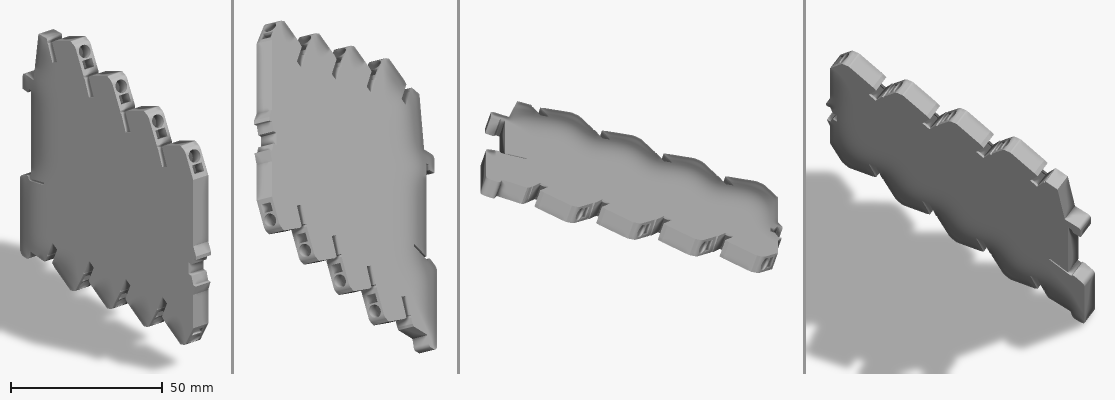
import cadquery as cq
import math

thickness = 6.0
half_height = 47.1
wall_x = 101.6
join_x = 15.8
shelf_x = 16.0
slit_end_x = 14.2
slit_end_top = -13.6
slit_end_bottom = -14.6

latch_tip_x = 103.3
latch_top = -1.1
latch_bottom = -11.7

tooth_count = 4
pitch_x = 21.5
pitch_drop = 3.2

notch_x = 19.0
notch_z = 34.1
notch_width = 3.1
notch_angle = math.radians(25)
notch_wall = 7.0
corner_x = 20.1
corner_z = 42.8
apex_x = 29.8
apex_half_width = 0.4
apex_rise = 0.1
shoulder_x = 31.1
shoulder_z = 46.7
round_mid_x = 32.2
round_mid_z = 46.2
flank_x = 33.0
flank_z = 45.2
step_x = join_x + pitch_x
step_top_z = 37.5
step_bottom_z = 36.8
step_width = 0.6
shelf_z = step_bottom_z + pitch_drop

screw_diameter = 4.4
screw_x = 33.6
slot_x = 35.6
slot_length = 3.0
slot_width = 3.8
pocket_depth = 5.2

recess_width = 4.5
recess_depth = 0.7

flank_slope = (step_top_z - flank_z) / (step_x - flank_x)


def flank_height(x):
    """Height of the first tooth's straight flank at x."""
    return flank_z + flank_slope * (x - flank_x)


def polar(length, angle):
    """X and Z components of a length at an angle above the X axis."""
    return length * math.cos(angle), length * math.sin(angle)


def profile_plane():
    """Workplane of the plate outline: local X is X and local Y is Z."""
    return cq.Workplane("XZ")


def plate(points):
    """Full-thickness plate bounded by straight edges."""
    return profile_plane().polyline(points).close().extrude(thickness / 2, both=True)


def tooth_row():
    """Upper half of the body, with its stepped row of teeth."""
    floor_x, floor_z = polar(notch_width, notch_angle)
    wall_dx, wall_dz = polar(notch_wall, notch_angle + math.pi / 2)
    tip_x = notch_x + floor_x + wall_dx
    tip_z = notch_z + floor_z + wall_dz
    apex_side_z = half_height - apex_rise

    row = profile_plane().moveTo(join_x, 0).lineTo(join_x, shelf_z)
    row = row.lineTo(join_x + step_width, shelf_z)
    for i in range(tooth_count):
        dx = i * pitch_x
        dz = -i * pitch_drop
        row = (
            row.lineTo(notch_x + dx, notch_z + dz)
            .lineTo(notch_x + floor_x + dx, notch_z + floor_z + dz)
            .lineTo(tip_x + dx, tip_z + dz)
            .lineTo(corner_x + dx, corner_z + dz)
            .lineTo(apex_x - apex_half_width + dx, apex_side_z + dz)
            .threePointArc((apex_x + dx, half_height + dz), (apex_x + apex_half_width + dx, apex_side_z + dz))
            .lineTo(shoulder_x + dx, shoulder_z + dz)
            .threePointArc((round_mid_x + dx, round_mid_z + dz), (flank_x + dx, flank_z + dz))
        )
        if i < tooth_count - 1:
            row = (
                row.lineTo(step_x + dx, step_top_z + dz)
                .lineTo(step_x + dx, step_bottom_z + dz)
                .lineTo(step_x + step_width + dx, step_bottom_z + dz)
            )
        else:
            row = row.lineTo(wall_x, flank_height(wall_x - dx) + dz)
    return row.lineTo(wall_x, 0).close().extrude(thickness / 2, both=True)


def flank_plane(x):
    """Plane on the first tooth's flank: local X points down the flank, local Z outward."""
    down = cq.Vector(1, 0, flank_slope)
    outward = cq.Vector(-flank_slope, 0, 1)
    return cq.Workplane(cq.Plane((x, 0, flank_height(x)), down, outward))


def tooth_pockets():
    """Cutters for the first notch recess, screw hole and test slot."""
    clearance = 1.0
    depth = pocket_depth + clearance
    screw_plane = flank_plane(screw_x).workplane(offset=clearance)
    screw = screw_plane.circle(screw_diameter / 2).extrude(-depth)
    slot_plane = flank_plane(slot_x).workplane(offset=clearance)
    slot = slot_plane.rect(slot_length, slot_width).extrude(-depth)
    recess = (
        cq.Workplane("XY")
        .box(notch_width, recess_width, 2 * recess_depth, centered=(False, True, True))
        .rotate((0, 0, 0), (0, 1, 0), -math.degrees(notch_angle))
        .translate((notch_x, 0, notch_z))
    )
    return screw.union(slot).union(recess)


def toothed_half():
    """Upper half of the body with the pockets cut in every tooth."""
    half = tooth_row()
    cutter = tooth_pockets()
    for i in range(tooth_count):
        half = half.cut(cutter.translate((i * pitch_x, 0, -i * pitch_drop)))
    return half


def hook_block():
    """Upper left block: rail hook, leaning edge and the long vertical wall."""
    hook_x = 1.7
    hook_top = 22.3
    hook_bottom = 16.1
    hook_round = 1.2
    rail_wall_x = 6.6
    slit_mouth_z = -15.6
    block = plate(
        [
            (rail_wall_x, slit_mouth_z),
            (rail_wall_x, 17.8),
            (5.3, 17.8),
            (4.6, hook_bottom),
            (hook_x, hook_bottom),
            (hook_x, hook_top),
            (8.0, hook_top),
            (10.8, 41.1),
            (15.6, 41.7),
            (shelf_x, 40.9),
            (shelf_x, shelf_z),
            (join_x, shelf_z),
            (join_x, slit_end_top),
            (slit_end_x, slit_end_top),
        ]
    )
    corner = cq.selectors.NearestToPointSelector((hook_x, 0, hook_top))
    return block.edges("|Y").edges(corner).fillet(hook_round)


def foot_block():
    """Lower left block: rail foot below the thin spring slit."""
    outer_round = 2.0
    toe_round = 1.2
    top_left = (0, -17.4)
    foot_right = 4.8
    block = plate(
        [
            top_left,
            (3.9, -15.6),
            (4.9, -15.6),
            (5.3, -16.6),
            (6.4, -16.6),
            (slit_end_x, slit_end_bottom),
            (slit_end_x, slit_end_top),
            (join_x, slit_end_top),
            (join_x, -shelf_z),
            (shelf_x, -shelf_z),
            (shelf_x, -40.7),
            (15.1, -42.7),
            (14.4, -43.4),
            (5.7, -43.4),
            (foot_right, -half_height),
            (0, -half_height),
        ]
    )
    rounds = [
        (top_left, outer_round),
        ((0, -half_height), outer_round),
        ((foot_right, -half_height), toe_round),
    ]
    for (x, z), radius in rounds:
        corner = cq.selectors.NearestToPointSelector((x, 0, z))
        block = block.edges("|Y").edges(corner).fillet(radius)
    return block


def latch_lips():
    """Two small lips that stand out from the right-hand wall."""
    upper = plate(
        [
            (wall_x, 3.0),
            (latch_tip_x, -0.1),
            (latch_tip_x, -1.4),
            (102.3, -1.4),
            (102.1, latch_top),
            (wall_x, latch_top),
        ]
    )
    lower = plate([(wall_x, latch_bottom), (103.0, latch_bottom), (wall_x, -15.4)])
    return upper.union(lower)


def latch_notch():
    """Stepped notch between the lips: a tapered mouth and a square inner pocket."""
    mouth_x = 100.6
    inner_x = 99.0
    inner_top = -4.3
    inner_bottom = -8.7
    return plate(
        [
            (wall_x, latch_top),
            (mouth_x, inner_top),
            (inner_x, inner_top),
            (inner_x, inner_bottom),
            (mouth_x, inner_bottom),
            (wall_x, latch_bottom),
        ]
    )


upper_half = toothed_half()
body = upper_half.union(upper_half.mirror("XY"))
body = body.union(hook_block()).union(foot_block()).union(latch_lips())
result = body.cut(latch_notch()).clean()